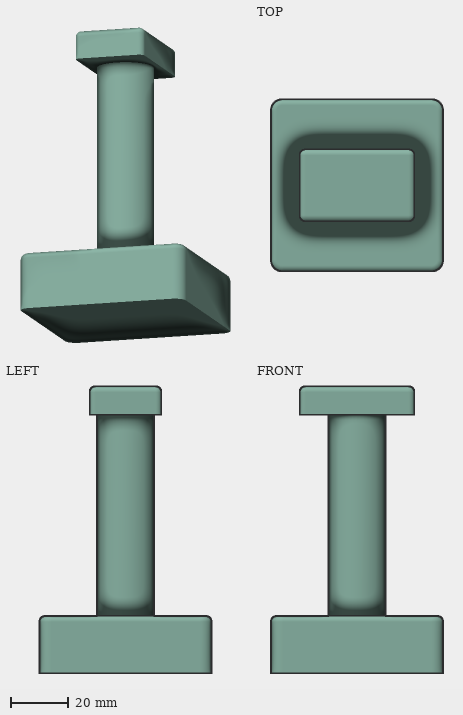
import cadquery as cq

base_side = 60.0
base_height = 20.0
base_corner_radius = 4.0

stem_diameter = 20.0

cap_length = 40.0
cap_width = 25.0
cap_height = 10.0
cap_corner_radius = 2.0

top_edge_radius = 2.0

total_height = 100.0
cap_bottom = total_height - cap_height
stem_length = cap_bottom - base_height


def rounded_block(length, width, height, corner_radius, bottom):
    """Block with rounded vertical corners and a rounded top rim, flat underneath."""
    block = cq.Workplane("XY").workplane(offset=bottom).rect(length, width).extrude(height)
    block = block.edges("|Z").fillet(corner_radius)
    return block.faces(">Z").edges().fillet(top_edge_radius)


def round_stem():
    """Cylinder from the top of the base to the underside of the cap."""
    return cq.Workplane("XY").workplane(offset=base_height).circle(stem_diameter / 2).extrude(stem_length)


base = rounded_block(base_side, base_side, base_height, base_corner_radius, 0)
cap = rounded_block(cap_length, cap_width, cap_height, cap_corner_radius, cap_bottom)

result = base.union(round_stem()).union(cap)